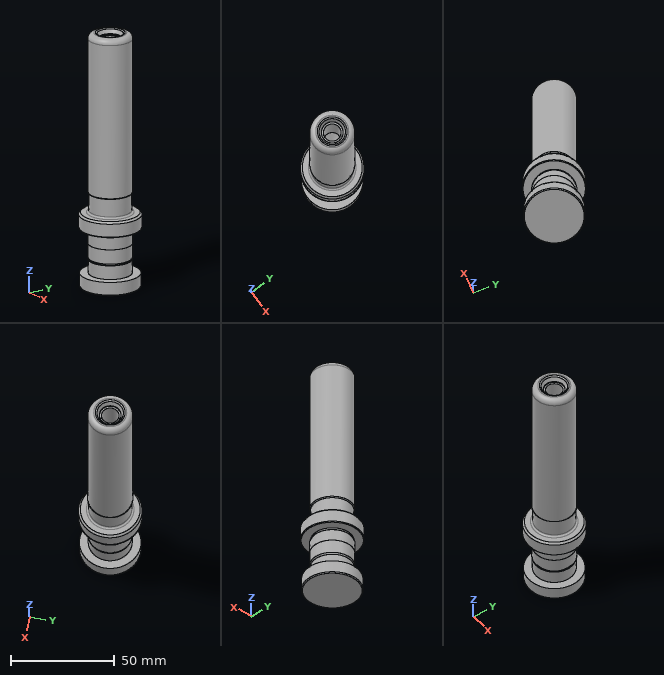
import cadquery as cq
import math

total_height = 130.0
disc_flange_top = 7.0
pillar_base = 14.0
fit_step_height = 22.3
collar_base = 30.0
collar_top = 38.0
guide_start = 48.0

disc_radius = 15.0
disc_boss_radius = 10.7
disc_chamfer = 0.5

guide_radius = 11.0
lead_in_radius = 10.98
relief_radius = 10.5
collar_radius = 15.5

relief_depth = guide_radius - relief_radius
lead_in_chamfer = 1.0
lead_in_tip_radius = lead_in_radius - lead_in_chamfer
lower_relief_height = 1.0
collar_bottom_chamfer = 0.4
collar_top_chamfer = 1.0
collar_root_fillet = 1.0
tip_round = 3.0

protective_cone_radius = 7.2
centre_cone_radius = 6.4
clearance_radius = 5.25
thread_core_radius = 4.25
protective_cone_half_angle = 60.0
centre_cone_half_angle = 30.0
clearance_depth = 0.5
thread_hole_depth = 25.0
drill_point_half_angle = 59.0


def make_retaining_disc():
    """Flanged disc whose boss butts against the lower end of the pillar."""
    flange = cq.Workplane("XY").circle(disc_radius).extrude(disc_flange_top)
    flange = flange.faces("<Z").edges().chamfer(disc_chamfer)
    boss = cq.Workplane("XY").circle(disc_boss_radius).extrude(pillar_base)
    return flange.union(boss)


def make_pillar_blank():
    """Turned pillar: fitted shank, collar, relief neck and long guide length."""
    relief_cone_top = collar_base - lower_relief_height
    fillet_outer_radius = relief_radius + collar_root_fillet
    fillet_top = collar_top + collar_root_fillet
    fillet_mid_offset = collar_root_fillet * (1 - math.sin(math.pi / 4))
    tip_mid_offset = tip_round * (1 - math.sin(math.pi / 4))

    profile = (
        cq.Workplane("XZ")
        .moveTo(0, pillar_base)
        .lineTo(lead_in_tip_radius, pillar_base)
        .lineTo(lead_in_radius, pillar_base + lead_in_chamfer)
        .lineTo(lead_in_radius, fit_step_height)
        .lineTo(guide_radius, fit_step_height)
        .lineTo(guide_radius, relief_cone_top - relief_depth)
        .lineTo(relief_radius, relief_cone_top)
        .lineTo(relief_radius, collar_base)
        .lineTo(collar_radius - collar_bottom_chamfer, collar_base)
        .lineTo(collar_radius, collar_base + collar_bottom_chamfer)
        .lineTo(collar_radius, collar_top - collar_top_chamfer)
        .lineTo(collar_radius - collar_top_chamfer, collar_top)
        .lineTo(fillet_outer_radius, collar_top)
        .threePointArc(
            (relief_radius + fillet_mid_offset, collar_top + fillet_mid_offset),
            (relief_radius, fillet_top),
        )
        .lineTo(relief_radius, guide_start)
        .lineTo(guide_radius, guide_start + relief_depth)
        .lineTo(guide_radius, total_height - tip_round)
        .threePointArc(
            (guide_radius - tip_mid_offset, total_height - tip_mid_offset),
            (guide_radius - tip_round, total_height),
        )
        .lineTo(0, total_height)
        .close()
    )
    return profile.revolve(360, (0, 0, 0), (0, 1, 0))


def make_centre_hole():
    """Material removed by the stepped centre hole, ending in a drill point."""
    protective_cone_depth = (protective_cone_radius - centre_cone_radius) / math.tan(
        math.radians(protective_cone_half_angle)
    )
    centre_cone_depth = (centre_cone_radius - clearance_radius) / math.tan(math.radians(centre_cone_half_angle))
    drill_point_depth = thread_core_radius / math.tan(math.radians(drill_point_half_angle))
    centre_cone_top = total_height - protective_cone_depth
    cone_bottom = centre_cone_top - centre_cone_depth
    seat_height = cone_bottom - clearance_depth
    hole_floor = total_height - thread_hole_depth

    profile = (
        cq.Workplane("XZ")
        .moveTo(0, total_height)
        .lineTo(protective_cone_radius, total_height)
        .lineTo(centre_cone_radius, centre_cone_top)
        .lineTo(clearance_radius, cone_bottom)
        .lineTo(clearance_radius, seat_height)
        .lineTo(thread_core_radius, seat_height)
        .lineTo(thread_core_radius, hole_floor)
        .lineTo(0, hole_floor - drill_point_depth)
        .close()
    )
    return profile.revolve(360, (0, 0, 0), (0, 1, 0))


retaining_disc = make_retaining_disc()
guide_pillar = make_pillar_blank().cut(make_centre_hole())

result = cq.Compound.makeCompound([guide_pillar.val(), retaining_disc.val()])